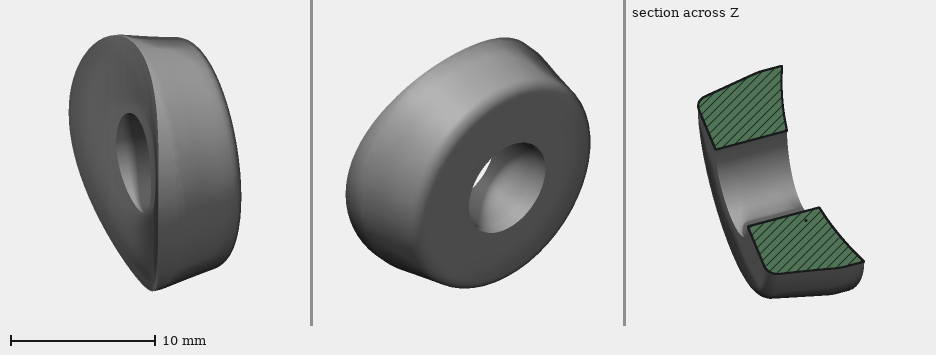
import cadquery as cq
import math

outer_radius = 9.0
back_radius = 8.0
bore_radius = 3.5
crest_thickness = 5.0
pipe_radius = 48.3 / 2
back_edge_radius = 1.0
shoulder_blend_radius = 3.0

taper_angle = math.atan2(outer_radius - back_radius, crest_thickness)

saddle_depth = pipe_radius - math.sqrt(pipe_radius**2 - outer_radius**2)
front_margin = 1.0
blank_front = -saddle_depth - front_margin


def arc_point(center, radius, angle):
    """Point (distance from axis, Y) on an arc, at an angle measured from radially outward toward +Y."""
    return (center[0] + radius * math.cos(angle), center[1] + radius * math.sin(angle))


def revolved_blank():
    """Bored, tapered body with a rounded back rim and a soft shoulder where cone meets cylinder."""
    half_taper = taper_angle / 2

    shoulder_center = (
        outer_radius - shoulder_blend_radius,
        -shoulder_blend_radius * math.tan(half_taper),
    )
    shoulder_start = arc_point(shoulder_center, shoulder_blend_radius, 0)
    shoulder_middle = arc_point(shoulder_center, shoulder_blend_radius, half_taper)
    shoulder_end = arc_point(shoulder_center, shoulder_blend_radius, taper_angle)

    quarter_turn = math.pi / 2
    rim_tangent_length = back_edge_radius * math.tan((quarter_turn - taper_angle) / 2)
    rim_center = (back_radius - rim_tangent_length, crest_thickness - back_edge_radius)
    rim_start = arc_point(rim_center, back_edge_radius, taper_angle)
    rim_middle = arc_point(rim_center, back_edge_radius, (taper_angle + quarter_turn) / 2)
    rim_end = arc_point(rim_center, back_edge_radius, quarter_turn)

    profile = (
        cq.Workplane("XY")
        .moveTo(bore_radius, blank_front)
        .lineTo(outer_radius, blank_front)
        .lineTo(*shoulder_start)
        .threePointArc(shoulder_middle, shoulder_end)
        .lineTo(*rim_start)
        .threePointArc(rim_middle, rim_end)
        .lineTo(bore_radius, crest_thickness)
        .close()
    )
    return profile.revolve(360, (0, 0, 0), (0, 1, 0))


def pipe():
    """Upright round pipe whose surface touches the crest line of the saddle."""
    pipe_length = 4 * outer_radius
    return (
        cq.Workplane("XY", origin=(0, -pipe_radius, -pipe_length / 2))
        .circle(pipe_radius)
        .extrude(pipe_length)
    )


result = revolved_blank().cut(pipe())